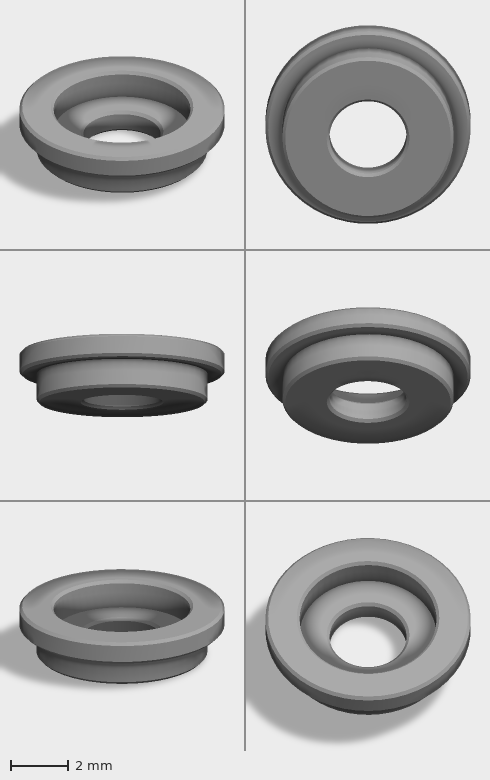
import cadquery as cq

flange_diameter = 7.2
flange_thickness = 0.8
spigot_diameter = 6.0
total_height = 1.8
counterbore_diameter = 4.8
counterbore_depth = 1.0
hole_diameter = 2.7
edge_chamfer = 0.1

spigot_height = total_height - flange_thickness
floor_thickness = total_height - counterbore_depth


def chamfered_disc(diameter, height, base_z, edges):
    """Disc standing on base_z, with the selected rims chamfered."""
    disc = cq.Workplane("XY").workplane(offset=base_z).circle(diameter / 2).extrude(height)
    return disc.edges(edges).chamfer(edge_chamfer)


def countersink(bore_diameter, rim_z, direction):
    """Cone that breaks a bore rim; direction is +1 for an upward-facing rim, -1 for a downward one."""
    bore_radius = bore_diameter / 2
    cone_base = cq.Vector(0, 0, rim_z)
    cone_axis = cq.Vector(0, 0, -direction)
    return cq.Workplane(
        cq.Solid.makeCone(bore_radius + edge_chamfer, bore_radius, edge_chamfer, cone_base, cone_axis)
    )


def bore(diameter, bottom_z, top_z):
    """Cylinder removed between two heights."""
    return cq.Workplane("XY").workplane(offset=bottom_z).circle(diameter / 2).extrude(top_z - bottom_z)


flange = chamfered_disc(flange_diameter, flange_thickness, spigot_height, "%CIRCLE")
spigot = chamfered_disc(spigot_diameter, spigot_height, 0, "<Z")
body = flange.union(spigot)

body = body.cut(bore(counterbore_diameter, floor_thickness, total_height))
body = body.cut(countersink(counterbore_diameter, total_height, 1))

body = body.cut(bore(hole_diameter, 0, floor_thickness))
body = body.cut(countersink(hole_diameter, floor_thickness, 1))
body = body.cut(countersink(hole_diameter, 0, -1))

result = body